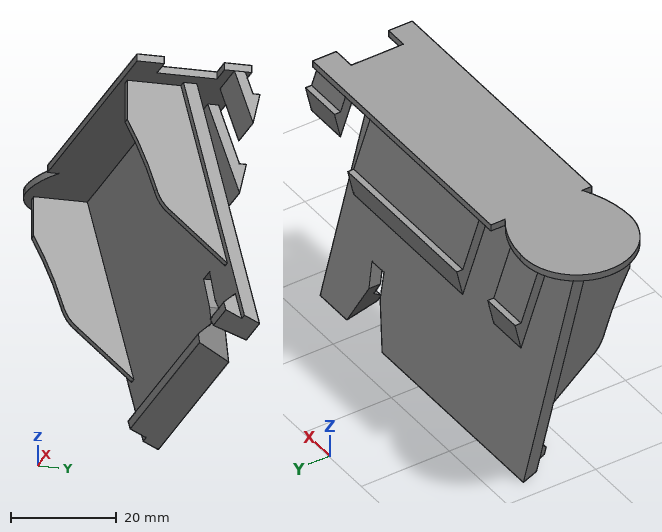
import cadquery as cq
import math

PLATE_LENGTH = 85.25
PLATE_DEPTH = 22.6
PLATE_THICKNESS = 1.45
UNDERSIDE_Z = -PLATE_THICKNESS

DISC_RADIUS = 12.0
DISC_CENTER_Y = 11.0
FRONT_FLARE_START_X = 11.6
FRONT_FLARE_END = (23.45, 2.2)
FRONT_FLARE_BULGE = 0.85
BACK_FLARE_START_X = 13.3
BACK_FLARE_END = (23.95, 19.35)
BACK_FLARE_BULGE = 0.85

NOTCH_DEPTH = 5.1
NOTCH_FRONT_Y = 5.4
NOTCH_BACK_Y = 17.2

WALL_X0 = 6.7
WALL_X1 = 76.6
WALL_TOP_BACK_Y = 14.2
WALL_BOTTOM_BACK_Y = 26.6
WALL_BOTTOM_Z = -48.8
WALL_WIDTH_Y = 2.65
WALL_SLOPE = (WALL_BOTTOM_BACK_Y - WALL_TOP_BACK_Y) / (UNDERSIDE_Z - WALL_BOTTOM_Z)
WALL_EDGE_SLOPE = 0.46

LIP_TOP_Z = -42.45
LIP_NOSE = (20.0, -44.4)
LIP_HEEL_Y = 20.5

SLOT_BOTTOM_X = (55.3, 67.4)
SLOT_NECK_X = (59.6, 63.4)
SLOT_TOP_X = (60.35, 64.45)
SLOT_NECK_Z = -39.7
SLOT_TOP_Z = -34.4

GUSSET_THICKNESS = 1.5
GUSSET_X0 = 8.8
GUSSET_X1 = 74.85
GUSSET_FRONT_Y = 1.0
GUSSET_CORNER_Z = -9.4
GUSSET_HOLLOW_MID = (4.95, -17.65)
GUSSET_KNEE_TOP = (6.8, -22.85)
GUSSET_KNEE_MID = (7.9, -25.2)
GUSSET_KNEE_END = (9.8, -27.2)
GUSSET_TIP_Z = -36.5

CLIP_FRONT_Y = 19.2
CLIP_WIDTH_Y = 2.1
CLIP_SLOPE = 0.36
BARB_HEIGHT = 6.0
BARB_REACH = 1.4
LONG_CLIP_BOTTOM_Z = -18.8
SHORT_CLIP_BOTTOM_Z = -11.7
CLIPS = [
    (9.3, 18.7, LONG_CLIP_BOTTOM_Z),
    (29.3, 66.8, LONG_CLIP_BOTTOM_Z),
    (75.3, PLATE_LENGTH, SHORT_CLIP_BOTTOM_Z),
]


def extrude_along_x(profile, x0, x1):
    """Extrude a closed profile drawn in (Y, Z) from x0 to x1."""
    return profile.extrude(x1 - x0).translate((x0, 0, 0))


def disc_rim_point(x, side):
    """Point of the disc rim at x; side is -1 for the front half and +1 for the back half."""
    return (x, DISC_CENTER_Y + side * math.sqrt(DISC_RADIUS**2 - (x - DISC_RADIUS) ** 2))


def bulged_midpoint(start, end, bulge, side):
    """Midpoint of a chord, moved outwards along Y by bulge."""
    return ((start[0] + end[0]) / 2, (start[1] + end[1]) / 2 + side * bulge)


def wall_front_y(z):
    """Y of the front face of the sloped wall at height z."""
    return WALL_TOP_BACK_Y - WALL_WIDTH_Y + WALL_SLOPE * (UNDERSIDE_Z - z)


def make_plate():
    front_start = disc_rim_point(FRONT_FLARE_START_X, -1)
    back_start = disc_rim_point(BACK_FLARE_START_X, 1)
    outline = (
        cq.Workplane("XY")
        .workplane(offset=UNDERSIDE_Z)
        .moveTo(FRONT_FLARE_END[0], 0)
        .lineTo(PLATE_LENGTH, 0)
        .lineTo(PLATE_LENGTH, PLATE_DEPTH)
        .lineTo(BACK_FLARE_END[0], PLATE_DEPTH)
        .lineTo(*BACK_FLARE_END)
        .threePointArc(bulged_midpoint(back_start, BACK_FLARE_END, BACK_FLARE_BULGE, 1), back_start)
        .threePointArc((0, DISC_CENTER_Y), front_start)
        .threePointArc(
            bulged_midpoint(front_start, FRONT_FLARE_END, FRONT_FLARE_BULGE, -1), FRONT_FLARE_END
        )
        .close()
    )
    notch = cq.Workplane("XY").box(
        NOTCH_DEPTH, NOTCH_BACK_Y - NOTCH_FRONT_Y, PLATE_THICKNESS, centered=False
    )
    notch = notch.translate((PLATE_LENGTH - NOTCH_DEPTH, NOTCH_FRONT_Y, UNDERSIDE_Z))
    return outline.extrude(PLATE_THICKNESS).cut(notch)


def make_wall_slot():
    """Funnel-shaped cutter running through the wall and its lip along Y."""
    outline = (
        cq.Workplane("XZ")
        .moveTo(SLOT_BOTTOM_X[0], WALL_BOTTOM_Z)
        .lineTo(SLOT_NECK_X[0], SLOT_NECK_Z)
        .lineTo(SLOT_TOP_X[0], SLOT_TOP_Z)
        .lineTo(SLOT_TOP_X[1], SLOT_TOP_Z)
        .lineTo(SLOT_NECK_X[1], SLOT_NECK_Z)
        .lineTo(SLOT_BOTTOM_X[1], WALL_BOTTOM_Z)
        .close()
    )
    return outline.extrude(-WALL_BOTTOM_BACK_Y)


def make_wall():
    width_at_bottom = WALL_BOTTOM_BACK_Y - wall_front_y(WALL_BOTTOM_Z)
    bevel_run = width_at_bottom / (1 - WALL_EDGE_SLOPE * WALL_SLOPE)
    bevel_rise = WALL_EDGE_SLOPE * bevel_run
    front_bottom_z = WALL_BOTTOM_Z + bevel_rise
    front_bottom = (wall_front_y(front_bottom_z), front_bottom_z)
    heel_z = WALL_BOTTOM_Z + WALL_EDGE_SLOPE * (WALL_BOTTOM_BACK_Y - LIP_HEEL_Y)

    slab = (
        cq.Workplane("YZ")
        .moveTo(WALL_TOP_BACK_Y, UNDERSIDE_Z)
        .lineTo(WALL_BOTTOM_BACK_Y, WALL_BOTTOM_Z)
        .lineTo(*front_bottom)
        .lineTo(wall_front_y(UNDERSIDE_Z), UNDERSIDE_Z)
        .close()
    )
    lip = (
        cq.Workplane("YZ")
        .moveTo(*front_bottom)
        .lineTo(LIP_HEEL_Y, heel_z)
        .lineTo(*LIP_NOSE)
        .lineTo(wall_front_y(LIP_TOP_Z), LIP_TOP_Z)
        .close()
    )
    wall = extrude_along_x(slab, WALL_X0, WALL_X1)
    wall = wall.union(extrude_along_x(lip, GUSSET_X0, GUSSET_X1))
    return wall.cut(make_wall_slot())


def make_gusset(x0):
    profile = (
        cq.Workplane("YZ")
        .moveTo(wall_front_y(UNDERSIDE_Z), UNDERSIDE_Z)
        .lineTo(GUSSET_FRONT_Y, UNDERSIDE_Z)
        .lineTo(GUSSET_FRONT_Y, GUSSET_CORNER_Z)
        .threePointArc(GUSSET_HOLLOW_MID, GUSSET_KNEE_TOP)
        .threePointArc(GUSSET_KNEE_MID, GUSSET_KNEE_END)
        .lineTo(wall_front_y(GUSSET_TIP_Z), GUSSET_TIP_Z)
        .close()
    )
    return extrude_along_x(profile, x0, x0 + GUSSET_THICKNESS)


def make_clip(x0, x1, bottom_z):
    """Sloped leg ending in a barb; every clip has the same barb."""
    def leg_front_y(z):
        return CLIP_FRONT_Y + CLIP_SLOPE * (UNDERSIDE_Z - z)

    point_y = leg_front_y(bottom_z)
    catch_z = bottom_z + BARB_HEIGHT
    profile = (
        cq.Workplane("YZ")
        .moveTo(CLIP_FRONT_Y, UNDERSIDE_Z)
        .lineTo(point_y, bottom_z)
        .lineTo(point_y + BARB_REACH, catch_z)
        .lineTo(leg_front_y(catch_z) + CLIP_WIDTH_Y, catch_z)
        .lineTo(CLIP_FRONT_Y + CLIP_WIDTH_Y, UNDERSIDE_Z)
        .close()
    )
    return extrude_along_x(profile, x0, x1)


plate = make_plate()
wall = make_wall()
gussets = [make_gusset(x0) for x0 in (GUSSET_X0, GUSSET_X1 - GUSSET_THICKNESS)]
clips = [make_clip(x0, x1, bottom_z) for x0, x1, bottom_z in CLIPS]

result = cq.Compound.makeCompound(
    [
        plate.val(),
        wall.val(),
        *[gusset.val() for gusset in gussets],
        *[clip.val() for clip in clips],
    ]
)